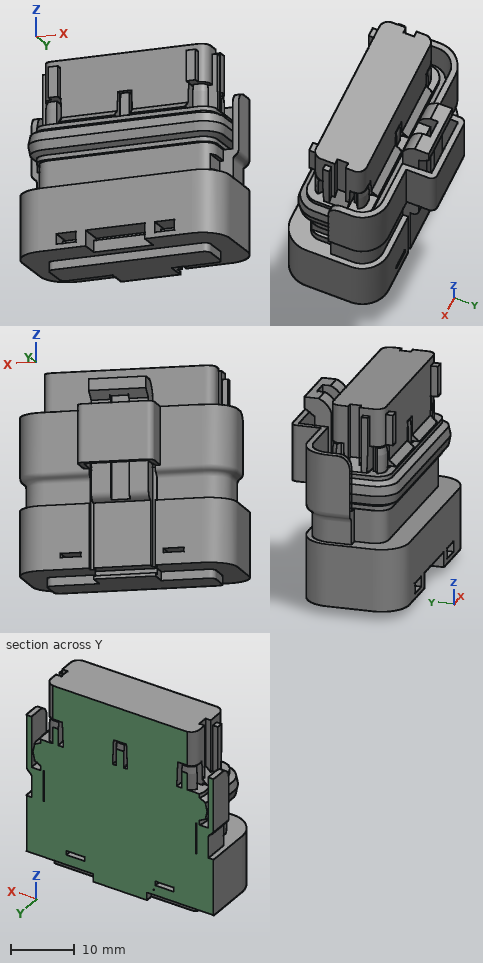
import cadquery as cq
import math

WALL = 1.0

BASE_X, BASE_Y = 34.9, 16.7
BASE_RADIUS = 4.55
BASE_BOTTOM, BASE_TOP = 1.43, 11.8
OVERALL_Y = 21.6
BACK_Y = OVERALL_Y - BASE_Y / 2

PLATE_X, PLATE_Y, PLATE_RADIUS = 27.15, 6.07, 1.0
TAIL_Y, LIP_Y, LIP_HEIGHT = 5.65, 6.7, 0.52

WINDOW_TOP, WINDOW_SILL = 4.0, 2.3
RETAINER_TOP = 3.35
WINDOW_NEAR, WINDOW_FAR = 6.63, 9.95
TAB_GAP = 0.28
TAB_RECESS = 2.0
NOTCH_HALF = 5.0
NOTCH_DEPTH, NOTCH_TOP_DEPTH = 3.5, 4.55

NECK_X, NECK_Y, NECK_RADIUS = 29.8, 9.8, 2.27
KEY_DEPTH, KEY_BOTTOM, KEY_TOP = 0.6, 13.1, 15.53
COLLAR_X, COLLAR_Y, COLLAR_RADIUS = 30.25, 11.03, 2.35
COLLAR_BOTTOM, COLLAR_TOP = 17.35, 23.07
SEAL_MID, SEAL_CREST = 20.25, 1.33
SEAL_SHOULDER, SEAL_SHOULDER_HALF = 1.0, 1.55
SEAL_FOOT_HALF = 2.13

SHROUD_TOP = 26.7
SHROUD_WAIST = 0.95
WAIST_LOW, WAIST_HIGH = 15.43, 17.1
SHROUD_END_ROUND = 2.0
GUARD_X, GUARD_ROUND = 12.3, 1.0
OPENING_FRONT_Y = 7.05
OPENING_FRONT_HALF, OPENING_BACK_HALF = 5.37, 5.13

LATCH_X = 9.2
LATCH_ARM_Y, LATCH_TIP_Y, LATCH_TOP = 9.8, 11.5, 31.0
LATCH_TIP_BOTTOM, LATCH_CROOK = 29.15, 27.92
LATCH_FOOT_ROUND = 1.4
LATCH_SHOULDER_Y, LATCH_SHOULDER_Z = 9.15, 28.75
LATCH_BEND = (7.95, 30.22)
SLOT_X, SLOT_BACK_Y, SLOT_STEP_Y, SLOT_FLOOR = 3.0, 10.4, 9.15, 28.62

HOUSING_X, HOUSING_Y, HOUSING_RADIUS, HOUSING_TOP = 27.65, 8.7, 1.5, 33.8
GROOVE_DEPTH, GROOVE_FRONT_Y, GROOVE_BACK_Y = 0.98, -0.45, 1.35
RIB_TOP = 32.53
SIDE_RIB_X, SIDE_RIB_FRONT_Y, SIDE_RIB_BACK_Y = 14.73, -2.13, -1.05
FRONT_RIB_NEAR, FRONT_RIB_FAR = 10.82, 12.4
RECESS_TOP, RECESS_DEPTH, RECESS_DRAFT = 27.5, 0.9, 0.17
CENTRE_RECESS_HALF, CORNER_RECESS_X, CORNER_RECESS_Y = 1.15, 10.8, 2.13
WEDGE_BOTTOM, WEDGE_TOP, WEDGE_REACH = 23.35, 24.35, 1.15
WEDGE_ROOT = 0.35
SIDE_WEDGE_TOP, SIDE_WEDGE_FRONT_Y, SIDE_WEDGE_BACK_Y = 25.02, -1.05, 2.02
PEG_TOP, PEG_BEVEL_START, PEG_BEVEL = 27.22, 26.05, 0.17
CENTRE_PEG_HALF, CORNER_PEG_X = 0.75, 11.48
CORNER_PEG_WEB_X = 12.85
CORNER_PEG_BACK_Y, CORNER_PEG_INNER_Y, CORNER_PEG_OUTER_Y = 2.4, 2.8, 3.45


def box(x0, x1, y0, y1, z0, z1):
    """Axis-aligned box between opposite corners."""
    return cq.Workplane("XY").box(x1 - x0, y1 - y0, z1 - z0, centered=False).translate((x0, y0, z0))


def rounded_block(size_x, size_y, radius, z0, z1):
    """Upright block centred on Z with rounded vertical edges."""
    block = cq.Workplane("XY").workplane(offset=z0).rect(size_x, size_y).extrude(z1 - z0)
    return block.edges("|Z").fillet(radius)


def both_sides(shape, plane):
    """Shape together with its mirror image."""
    return shape.union(shape.mirror(plane))


def prism_x(points, x0, x1):
    """Polygon of (y, z) points extruded from x0 to x1."""
    return cq.Workplane("YZ").workplane(offset=x0).polyline(points).close().extrude(x1 - x0)


def make_base():
    base = rounded_block(BASE_X, BASE_Y, BASE_RADIUS, BASE_BOTTOM, BASE_TOP)
    front = -BASE_Y / 2
    retainer_front = -PLATE_Y / 2
    sight_gap = box(WINDOW_NEAR, WINDOW_FAR, front, -front, RETAINER_TOP, WINDOW_TOP)
    pocket = box(WINDOW_NEAR, WINDOW_FAR, front, retainer_front, WINDOW_SILL, RETAINER_TOP)
    tab = box(WINDOW_NEAR + TAB_GAP, WINDOW_FAR - TAB_GAP, front + TAB_RECESS, retainer_front,
              WINDOW_SILL, RETAINER_TOP)
    base = base.cut(both_sides(sight_gap.union(pocket.cut(tab)), "YZ"))
    notch = box(-NOTCH_HALF, NOTCH_HALF, front, front + NOTCH_DEPTH, BASE_BOTTOM, WINDOW_TOP)
    notch_step = box(-NOTCH_HALF, NOTCH_HALF, front, front + NOTCH_TOP_DEPTH, RETAINER_TOP, WINDOW_TOP)
    return base.cut(notch).cut(notch_step)


def make_retainer():
    plate = rounded_block(PLATE_X, PLATE_Y, PLATE_RADIUS, 0, BASE_BOTTOM)
    tail = box(-NOTCH_HALF, NOTCH_HALF, 0, TAIL_Y, 0, BASE_BOTTOM)
    lip = box(-NOTCH_HALF, NOTCH_HALF, 0, LIP_Y, 0, LIP_HEIGHT)
    return plate.union(tail).union(lip)


def make_neck():
    neck = rounded_block(NECK_X, NECK_Y, NECK_RADIUS, BASE_TOP, COLLAR_BOTTOM)
    key = box(NECK_X / 2 - KEY_DEPTH, NECK_X / 2, -NECK_Y / 2, 0, KEY_BOTTOM, KEY_TOP)
    collar = rounded_block(COLLAR_X, COLLAR_Y, COLLAR_RADIUS, COLLAR_BOTTOM, COLLAR_TOP)
    return neck.cut(key).union(collar)


def seal_outline(growth, z):
    """Collar outline grown outward, as a wire at height z."""
    length, width = COLLAR_X + 2 * growth, COLLAR_Y + 2 * growth
    slice_block = rounded_block(length, width, COLLAR_RADIUS + growth, z, COLLAR_TOP)
    return slice_block.faces("<Z").wires().val()


def make_seal():
    sections = [
        (0, -SEAL_FOOT_HALF),
        (SEAL_SHOULDER, -SEAL_SHOULDER_HALF),
        (SEAL_CREST, 0),
        (SEAL_SHOULDER, SEAL_SHOULDER_HALF),
        (0, SEAL_FOOT_HALF),
    ]
    wires = [seal_outline(growth, SEAL_MID + rise) for growth, rise in sections]
    return cq.Workplane(cq.Solid.makeLoft(wires, True))


def make_shroud():
    """U-shaped wall: one section carried round the rear half of the base outline."""
    half_x, half_y = BASE_X / 2, BASE_Y / 2
    waist_x = half_x - SHROUD_WAIST
    inner_x = half_x - WALL
    root_x = NECK_X / 2 - KEY_DEPTH
    waist_mid = (WAIST_LOW + WAIST_HIGH) / 2
    path = (
        cq.Workplane("XY")
        .moveTo(half_x, 0)
        .lineTo(half_x, half_y - BASE_RADIUS)
        .radiusArc((half_x - BASE_RADIUS, half_y), -BASE_RADIUS)
        .lineTo(BASE_RADIUS - half_x, half_y)
        .radiusArc((-half_x, half_y - BASE_RADIUS), -BASE_RADIUS)
        .lineTo(-half_x, 0)
    )
    wall = (
        cq.Workplane("XZ")
        .moveTo(root_x, BASE_TOP)
        .lineTo(waist_x, BASE_TOP)
        .lineTo(waist_x, WAIST_LOW)
        .tangentArcPoint((waist_x + SHROUD_WAIST / 2, waist_mid), relative=False)
        .tangentArcPoint((half_x, WAIST_HIGH), relative=False)
        .lineTo(half_x, SHROUD_TOP)
        .lineTo(inner_x, SHROUD_TOP)
        .lineTo(inner_x, COLLAR_BOTTOM)
        .lineTo(root_x, COLLAR_BOTTOM)
        .close()
        .sweep(path)
    )
    floor = box(-root_x, root_x, 0, half_y - BASE_RADIUS, BASE_TOP, COLLAR_BOTTOM)
    end_round = (
        cq.Workplane("YZ")
        .workplane(offset=-half_x)
        .moveTo(0, SHROUD_TOP)
        .lineTo(SHROUD_END_ROUND, SHROUD_TOP)
        .radiusArc((0, SHROUD_TOP - SHROUD_END_ROUND), -SHROUD_END_ROUND)
        .close()
        .extrude(BASE_X)
    )
    return wall.cut(end_round).union(floor)


def make_latch_guard():
    wall_y = BASE_Y / 2 - WALL
    guard = box(-GUARD_X / 2, GUARD_X / 2, wall_y, BACK_Y, COLLAR_BOTTOM, SHROUD_TOP)
    return guard.edges("|Z and >Y").fillet(GUARD_ROUND)


def make_latch_opening():
    """Tapered well that clears the latch, from the base underside to the shroud top."""
    back_y = BACK_Y - WALL
    corners = [
        (-OPENING_FRONT_HALF, OPENING_FRONT_Y),
        (OPENING_FRONT_HALF, OPENING_FRONT_Y),
        (OPENING_BACK_HALF, back_y),
        (-OPENING_BACK_HALF, back_y),
    ]
    well = cq.Workplane("XY").workplane(offset=BASE_BOTTOM).polyline(corners).close()
    well = well.extrude(SHROUD_TOP - BASE_BOTTOM)
    latch_root = box(-LATCH_X / 2, LATCH_X / 2, OPENING_FRONT_Y, BASE_Y / 2, BASE_BOTTOM, BASE_TOP)
    return well.cut(latch_root)


def make_latch():
    latch = (
        cq.Workplane("YZ")
        .workplane(offset=-LATCH_X / 2)
        .moveTo(OPENING_FRONT_Y, BASE_TOP)
        .lineTo(LATCH_ARM_Y - LATCH_FOOT_ROUND, BASE_TOP)
        .radiusArc((LATCH_ARM_Y, BASE_TOP + LATCH_FOOT_ROUND), -LATCH_FOOT_ROUND)
        .lineTo(LATCH_ARM_Y, LATCH_CROOK)
        .lineTo(LATCH_TIP_Y, LATCH_TIP_BOTTOM)
        .lineTo(LATCH_TIP_Y, LATCH_TOP)
        .lineTo(LATCH_SHOULDER_Y, LATCH_TOP)
        .threePointArc(LATCH_BEND, (OPENING_FRONT_Y, LATCH_SHOULDER_Z))
        .close()
        .extrude(LATCH_X)
    )
    half = SLOT_X / 2
    through_slot = box(-half, half, SLOT_STEP_Y, SLOT_BACK_Y, BASE_TOP, LATCH_TOP)
    head_slot = box(-half, half, OPENING_FRONT_Y, SLOT_STEP_Y, SLOT_FLOOR, LATCH_TOP)
    return latch.cut(through_slot).cut(head_slot)


def make_side_features():
    """Rib and wedge on the +X side of the housing."""
    groove_x = HOUSING_X / 2 - GROOVE_DEPTH
    rib = box(groove_x, SIDE_RIB_X, SIDE_RIB_FRONT_Y, SIDE_RIB_BACK_Y, WEDGE_BOTTOM, RIB_TOP)
    wedge = (
        cq.Workplane("XZ")
        .workplane(offset=-SIDE_WEDGE_BACK_Y)
        .polyline([(groove_x, WEDGE_BOTTOM), (SIDE_RIB_X, WEDGE_BOTTOM), (groove_x, SIDE_WEDGE_TOP)])
        .close()
        .extrude(SIDE_WEDGE_BACK_Y - SIDE_WEDGE_FRONT_Y)
    )
    return rib.union(wedge)


def make_front_wedge():
    """Sloping ledge along the foot of the housing front."""
    face_y = -HOUSING_Y / 2
    slope = [
        (face_y + WEDGE_ROOT, WEDGE_BOTTOM),
        (face_y - WEDGE_REACH, WEDGE_BOTTOM),
        (face_y, WEDGE_TOP),
        (face_y + WEDGE_ROOT, WEDGE_TOP),
    ]
    return prism_x(slope, -CORNER_RECESS_X, CORNER_RECESS_X)


def drafted_recess(x0, x1, y0, y1):
    """Recess that widens toward the collar."""
    low = cq.Workplane("XY").workplane(offset=COLLAR_TOP)
    low = low.center((x0 + x1) / 2, (y0 + y1) / 2)
    low = low.rect(x1 - x0 + 2 * RECESS_DRAFT, y1 - y0 + 2 * RECESS_DRAFT)
    return low.workplane(offset=RECESS_TOP - COLLAR_TOP).rect(x1 - x0, y1 - y0).loft(ruled=True)


def make_front_recesses():
    face_y = -HOUSING_Y / 2
    outer_y = -COLLAR_Y / 2
    centre = drafted_recess(-CENTRE_RECESS_HALF, CENTRE_RECESS_HALF, outer_y, face_y + RECESS_DEPTH)
    corner = drafted_recess(CORNER_RECESS_X, COLLAR_X / 2, outer_y, -CORNER_RECESS_Y)
    return centre.union(both_sides(corner, "YZ"))


def make_front_pegs():
    """Locking pegs standing in the recesses, flush with the housing skin."""
    face_y = -HOUSING_Y / 2
    skin = rounded_block(HOUSING_X, HOUSING_Y, HOUSING_RADIUS, COLLAR_TOP, PEG_BEVEL_START)
    lean = math.degrees(math.atan2(PEG_BEVEL, PEG_TOP - PEG_BEVEL_START))
    tip = skin.faces(">Z").wires().toPending().workplane()
    tip = tip.extrude(PEG_TOP - PEG_BEVEL_START, combine=False, taper=lean)
    envelope = skin.union(tip)
    height = PEG_TOP - COLLAR_TOP
    edge_x = HOUSING_X / 2
    centre = box(-CENTRE_PEG_HALF, CENTRE_PEG_HALF, face_y, face_y + RECESS_DEPTH, COLLAR_TOP, PEG_TOP)
    corner = (
        cq.Workplane("XY")
        .workplane(offset=COLLAR_TOP)
        .polyline([
            (CORNER_PEG_X, face_y),
            (edge_x, face_y),
            (edge_x, -CORNER_PEG_OUTER_Y),
            (CORNER_PEG_WEB_X, -CORNER_PEG_INNER_Y),
            (CORNER_PEG_WEB_X, -CORNER_PEG_BACK_Y),
            (CORNER_PEG_X, -CORNER_PEG_BACK_Y),
        ])
        .close()
        .extrude(height)
    )
    return centre.union(both_sides(corner, "YZ")).intersect(envelope)


def make_housing():
    housing = rounded_block(HOUSING_X, HOUSING_Y, HOUSING_RADIUS, COLLAR_TOP, HOUSING_TOP)
    edge_x = HOUSING_X / 2
    groove = box(edge_x - GROOVE_DEPTH, edge_x, GROOVE_FRONT_Y, GROOVE_BACK_Y, COLLAR_TOP, HOUSING_TOP)
    housing = housing.cut(both_sides(groove, "YZ"))
    housing = housing.union(both_sides(make_side_features(), "YZ"))
    housing = housing.union(both_sides(make_front_wedge(), "XZ"))
    housing = housing.cut(both_sides(make_front_recesses(), "XZ"))
    housing = housing.union(both_sides(make_front_pegs(), "XZ"))
    rib = box(FRONT_RIB_NEAR, FRONT_RIB_FAR, -COLLAR_Y / 2, 0, RECESS_TOP, RIB_TOP)
    return housing.union(both_sides(rib, "YZ"))


body = make_base().union(make_neck()).union(make_shroud()).union(make_latch_guard())
body = body.cut(make_latch_opening())
result = body.union(make_retainer()).union(make_seal()).union(make_latch()).union(make_housing())